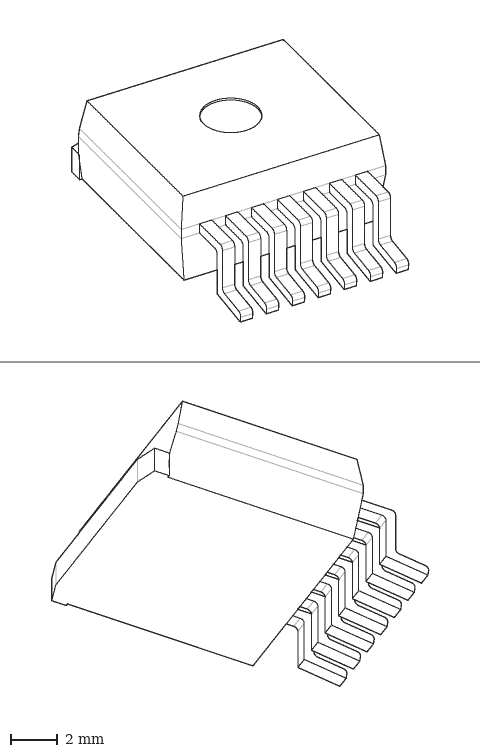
import math

import cadquery as cq

overall_height = 4.5
body_height = 4.43
body_width = 10.0
body_front_x = 1.02
body_back_x = 10.225
parting_low_z = 2.43
parting_high_z = 2.90
draft_slope = 0.13
front_slope = 0.20

tab_thickness = 1.27
tab_width = 9.6
tab_chamfer_x = 0.32
tab_chamfer_y = 1.0

mark_diameter = 2.65
mark_x = 5.63
mark_depth = 0.1

lead_count = 7
lead_pitch = 1.27
lead_width = 0.6
lead_thickness = parting_high_z - parting_low_z
lead_root_x = 9.0
lead_outer_x = 12.235
lead_end_x = 13.843
lead_bottom_z = body_height - overall_height
foot_angle = math.radians(7.7)
bend_radius = 0.2


def slab_prism(outline, plane, depth):
    """Extrude a closed outline symmetrically about its plane."""
    return cq.Workplane(plane).polyline(outline).close().extrude(depth / 2, both=True)


def make_body():
    """Intersect the drafted side profile with the drafted cross section."""
    low_inset = draft_slope * parting_low_z
    high_inset = draft_slope * (body_height - parting_high_z)
    front_inset = front_slope * (body_height - tab_thickness)
    side_profile = [
        (body_front_x, 0),
        (body_back_x - low_inset, 0),
        (body_back_x, parting_low_z),
        (body_back_x, parting_high_z),
        (body_back_x - high_inset, body_height),
        (body_front_x + front_inset, body_height),
        (body_front_x, tab_thickness),
    ]
    half_width = body_width / 2
    cross_section = [
        (-half_width + low_inset, 0),
        (half_width - low_inset, 0),
        (half_width, parting_low_z),
        (half_width, parting_high_z),
        (half_width - high_inset, body_height),
        (-half_width + high_inset, body_height),
        (-half_width, parting_high_z),
        (-half_width, parting_low_z),
    ]
    body = slab_prism(side_profile, "XZ", body_width)
    return body.intersect(slab_prism(cross_section, "YZ", 2 * body_back_x))


def make_tab():
    """Flat heat tab with its two outer corners cut at a slant."""
    half_width = tab_width / 2
    outline = [
        (0, -half_width + tab_chamfer_y),
        (tab_chamfer_x, -half_width),
        (body_front_x, -half_width),
        (body_front_x, half_width),
        (tab_chamfer_x, half_width),
        (0, half_width - tab_chamfer_y),
    ]
    return cq.Workplane("XY").polyline(outline).close().extrude(tab_thickness)


def make_lead(y):
    """One lead: out of the body, down, then along a sloping foot."""
    inner_x = lead_outer_x - lead_thickness
    toe_bottom_x = lead_end_x - lead_thickness * math.sin(foot_angle)
    toe_top_z = lead_bottom_z + lead_thickness * math.cos(foot_angle)
    ankle_z = toe_top_z + (lead_end_x - lead_outer_x) * math.tan(foot_angle)
    heel_z = lead_bottom_z + (toe_bottom_x - inner_x) * math.tan(foot_angle)
    outline = [
        (lead_root_x, parting_high_z),
        (lead_outer_x, parting_high_z),
        (lead_outer_x, ankle_z),
        (lead_end_x, toe_top_z),
        (toe_bottom_x, lead_bottom_z),
        (inner_x, heel_z),
        (inner_x, parting_low_z),
        (lead_root_x, parting_low_z),
    ]
    lead = slab_prism(outline, "XZ", lead_width)
    rounded_corners = [
        (lead_outer_x, parting_high_z),
        (lead_outer_x, ankle_z),
        (lead_end_x, toe_top_z),
        (inner_x, parting_low_z),
    ]
    for x, z in rounded_corners:
        corner = cq.selectors.NearestToPointSelector((x, 0, z))
        lead = lead.edges("|Y").edges(corner).fillet(bend_radius)
    return lead.translate((0, y, 0))


def cut_mark(part):
    """Sink the round mark into the top face."""
    top_face = cq.Workplane("XY", origin=(mark_x, 0, body_height))
    return part.cut(top_face.circle(mark_diameter / 2).extrude(-mark_depth))


result = cut_mark(make_body()).union(make_tab())
for index in range(lead_count):
    lead_y = (index - (lead_count - 1) / 2) * lead_pitch
    result = result.union(make_lead(lead_y))